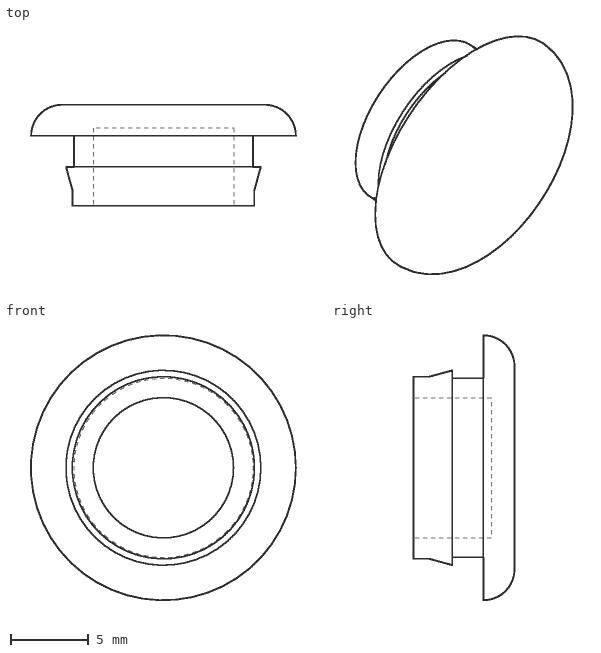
import cadquery as cq

flange_diameter = 17.0
flange_thickness = 2.0
neck_diameter = 11.5
neck_length = 1.99
barb_diameter = 12.5
barb_length = 1.5
tip_diameter = 11.68
tip_length = 1.0
bore_diameter = 9.0
bore_depth = 5.0

tip_end = 0
barb_start = tip_end + tip_length
barb_end = barb_start + barb_length
flange_start = barb_end + neck_length
flange_end = flange_start + flange_thickness

flange_radius = flange_diameter / 2
neck_radius = neck_diameter / 2
barb_radius = barb_diameter / 2
tip_radius = tip_diameter / 2
bore_radius = bore_diameter / 2

flat_radius = flange_radius - flange_thickness

profile = (
    cq.Workplane("XY")
    .moveTo(bore_radius, tip_end)
    .lineTo(tip_radius, tip_end)
    .lineTo(tip_radius, barb_start)
    .lineTo(barb_radius, barb_end)
    .lineTo(neck_radius, barb_end)
    .lineTo(neck_radius, flange_start)
    .lineTo(flange_radius, flange_start)
    .radiusArc((flat_radius, flange_end), -flange_thickness)
    .lineTo(0, flange_end)
    .lineTo(0, tip_end + bore_depth)
    .lineTo(bore_radius, tip_end + bore_depth)
    .close()
)

result = profile.revolve(360, (0, 0, 0), (0, 1, 0))